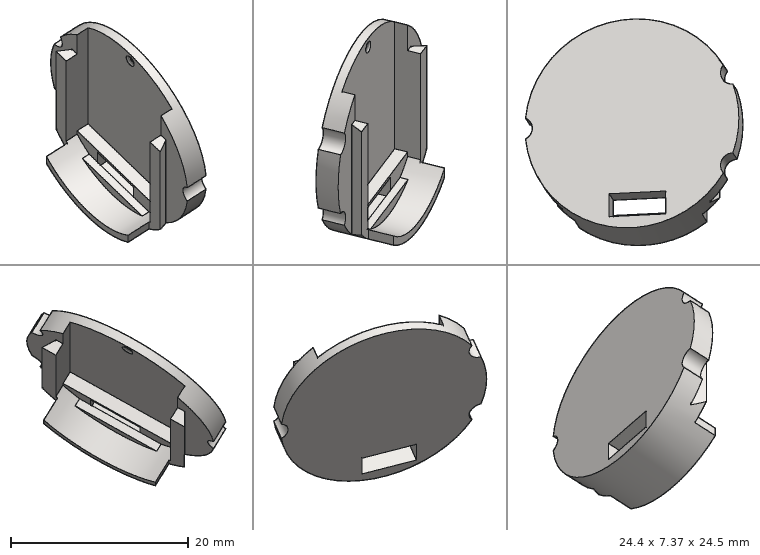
import cadquery as cq
import math


disc_radius = 12.25
plate_thickness = 2.75
floor_thickness = 1.15
ledge_depth = 3.72
rail_depth = 4.34
lip_depth = 7.37

pocket_half_width = 7.5
pocket_bottom = -7.77

rail_top = 6.17
rail_half_width = 9.3
rail_angle = 30.0
rail_foot = 0.07

lip_inner_radius = 11.25
lip_half_width = 7.3

slot_left = -3.87
slot_right = 2.6
slot_top = -8.13
slot_bottom = -10.83

ledge_top = -9.9

notch_center_radius = 12.76
left_notch_radius = 1.4
right_notch_radius = 1.35
left_notch_angle = 25.2

dimple_height = 11.0
dimple_rim_radius = 0.69
dimple_step_radius = 0.47
dimple_tip_radius = 0.25
dimple_step_depth = 0.17
dimple_depth = 0.27


def cylinder(radius, front, back=0.0, x=0.0, z=0.0):
    """Cylinder along Y between two depths."""
    return cq.Workplane("XZ", origin=(x, -back, z)).circle(radius).extrude(front - back)


def block(left, right, bottom, top, front, back=0.0):
    """Box given by its X and Z limits and two depths."""
    return (
        cq.Workplane("XY")
        .box(right - left, front - back, top - bottom, centered=False)
        .translate((left, -front, bottom))
    )


def make_rail():
    """Right-hand rail; its outer side leans outward toward the front."""
    foot_depth = plate_thickness + rail_foot
    lean = (rail_depth - foot_depth) * math.tan(math.radians(rail_angle))
    foot_x = rail_half_width - lean
    profile = [
        (pocket_half_width, -floor_thickness),
        (foot_x, -floor_thickness),
        (foot_x, -foot_depth),
        (rail_half_width, -rail_depth),
        (pocket_half_width, -rail_depth),
    ]
    rail = (
        cq.Workplane("XY", origin=(0, 0, -disc_radius))
        .polyline(profile)
        .close()
        .extrude(disc_radius + rail_top)
    )
    return rail.intersect(cylinder(disc_radius, rail_depth))


def make_lip():
    """Arc-shaped wall, slightly wider up to the rail depth than beyond it."""
    ring = cylinder(disc_radius, lip_depth, plate_thickness).cut(cylinder(lip_inner_radius, lip_depth))
    base = block(-pocket_half_width, pocket_half_width, -disc_radius, 0, rail_depth)
    front = block(-lip_half_width, lip_half_width, -disc_radius, 0, lip_depth)
    return ring.intersect(base.union(front))


def make_ledge():
    """Low step filling the bottom of the arc behind the lip."""
    half_chord = math.sqrt(lip_inner_radius**2 - ledge_top**2)
    step = block(-half_chord, half_chord, -disc_radius, ledge_top, ledge_depth, plate_thickness)
    return step.intersect(cylinder(disc_radius, ledge_depth))


def make_dimple():
    """Recess with two conical steps and a flat tip."""
    profile = [
        (0, 0),
        (dimple_rim_radius, 0),
        (dimple_step_radius, dimple_step_depth),
        (dimple_tip_radius, dimple_depth),
        (0, dimple_depth),
    ]
    return (
        cq.Workplane("XY", origin=(0, -floor_thickness, dimple_height))
        .polyline(profile)
        .close()
        .revolve(360, (0, 0), (0, 1))
    )


def notch(angle, radius):
    """Round cutter centred just outside the disc edge."""
    x = notch_center_radius * math.cos(math.radians(angle))
    z = notch_center_radius * math.sin(math.radians(angle))
    return cylinder(radius, plate_thickness, x=x, z=z)


result = cylinder(disc_radius, plate_thickness)
result = result.cut(
    block(
        -pocket_half_width,
        pocket_half_width,
        pocket_bottom,
        disc_radius,
        plate_thickness,
        floor_thickness,
    )
)

right_rail = make_rail()
result = result.union(right_rail).union(right_rail.mirror("YZ"))
result = result.union(make_lip()).union(make_ledge())

result = result.cut(block(slot_left, slot_right, slot_bottom, slot_top, plate_thickness))
result = result.cut(notch(0, right_notch_radius))
for side in (-1, 1):
    result = result.cut(notch(180 + side * left_notch_angle, left_notch_radius))
result = result.cut(make_dimple())